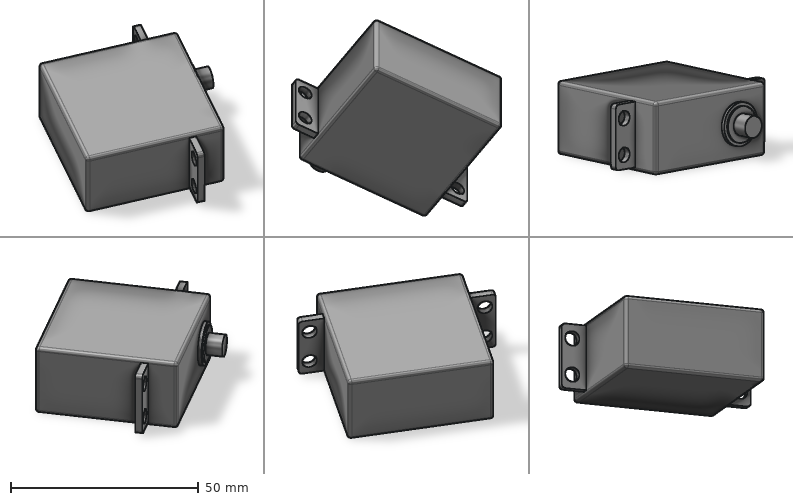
import cadquery as cq

case_width = 40.0
case_depth = 39.0
case_height = 20.0
edge_radius = 1.0

plate_width = 54.0
plate_thickness = 2.0
plate_height = case_height - 2 * edge_radius
plate_setback = 8.0
hole_diameter = 4.0
hole_spacing_x = 48.0
hole_spacing_z = 10.0

shaft_x = -case_width / 4
collar_radius = 6.0
collar_height = 1.0
step_radius = 5.0
step_height = 1.5
shaft_radius = 3.0
shaft_height = 6.0


def make_case():
    """Rounded block on which everything else is built."""
    block = cq.Workplane("XY").box(case_width, case_depth, case_height)
    return block.edges().fillet(edge_radius).translate((0, case_depth / 2, 0))


def make_plate():
    """Drilled plate with rounded corners, standing across the case."""
    plate = (
        cq.Workplane("XZ")
        .rect(plate_width, plate_height)
        .extrude(plate_thickness)
        .edges("|Y")
        .fillet(edge_radius)
        .faces(">Y")
        .workplane(centerOption="CenterOfBoundBox")
        .rect(hole_spacing_x, hole_spacing_z, forConstruction=True)
        .vertices()
        .hole(hole_diameter)
    )
    return plate.translate((0, case_depth - plate_setback, 0))


def make_post(radius, height):
    """Cylinder on the shaft axis, rising in +Y from the front face."""
    post = cq.Workplane("XZ").circle(radius).extrude(-height)
    return post.translate((shaft_x, case_depth, 0))


result = make_case().union(make_plate())
for radius, height in (
    (collar_radius, collar_height),
    (step_radius, step_height),
    (shaft_radius, shaft_height),
):
    result = result.union(make_post(radius, height))